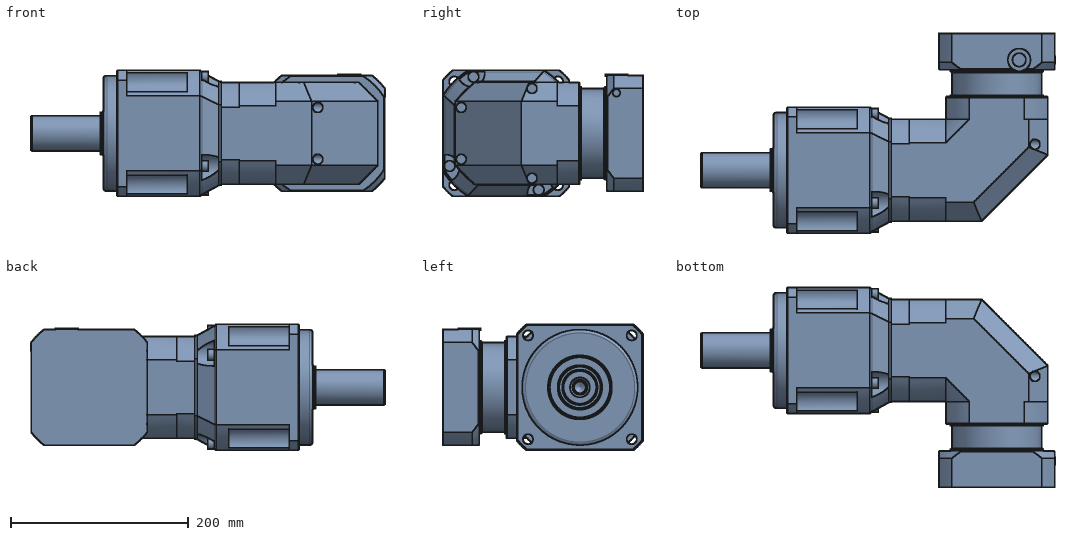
import cadquery as cq
import math


shaft_dia = 40.0
shaft_chamfer = 1.5
shoulder_chamfer = 0.8
shoulder_dia = 48.0
shoulder_x = 78.2
shaft_inner_end_x = 108.5
centre_cone_dia = 22.5
centre_cone_angle = 60.0
centre_recess_dia = 16.8
centre_recess_depth = 14.0
thread_hole_dia = 13.0
thread_hole_depth = 36.0
drill_tip_angle = 120.0

pilot_x = 81.8
plate_x = 97.0
plate_end_x = 108.0
housing_end_x = 192.5
taper_end_x = 212.0
collar_end_x = 214.3
pilot_dia = 130.0
pilot_fillet = 3.5
seal_dia = 70.0
seal_groove_depth = 1.0
seal_lip_height = 1.0
plate_width = 142.0
plate_round_dia = 186.0
plate_chamfer = 1.0
housing_round_dia = 165.0
housing_end_chamfer = 2.0
collar_width = 117.0
collar_round_dia = 133.3

mount_offset = 58.3
mount_hole_dia = 11.0
mount_pocket_dia = 31.0
mount_pocket_offset = 60.5
mount_pocket_end_x = 176.0

taper_screw_circle_dia = 147.0
taper_screw_angle = 30.0
taper_screw_dia = 12.0
taper_screw_end_x = 200.0
taper_scoop_dia = 30.5
taper_scoop_circle_dia = 156.5

body_width = 115.0
ring_round_dia = 129.3
ring_end_x = 234.5
link_round_dia = 130.5
input_axis_x = 333.0
diagonal_cut = 74.5
block_chamfer = 21.5
block_screw_circle_dia = 116.5
block_screw_dia = 11.0
block_screw_floor_x = 303.2
block_screw_angles = (60.0, 150.0, 210.0, 300.0)

flange_end_y = 83.0
flange_chamfer = 1.0
neck_dia = 101.5
neck_ring_dia = 104.5
neck_ring_height = 1.5
neck_ring_cone = 1.5
adapter_y = 113.0
adapter_end_y = 154.0
adapter_width = 130.5
adapter_round_dia = 165.0
adapter_edge_chamfer = 1.0
adapter_cone_radial = 6.5
adapter_cone_axial = 8.5

plug_dia = 25.5
plug_socket_dia = 15.0
plug_offset_x = 25.0
plug_y = 124.0
plug_height = 1.0
plug_depth = 1.0
stud_dia = 8.5
stud_z = 45.5
stud_end_x = 399.0

half_body = body_width / 2
block_x = input_axis_x - half_body
block_end_x = input_axis_x + half_body


def cylinder_x(x_start, x_end, dia, y=0.0, z=0.0):
    """Cylinder parallel to X."""
    return cq.Workplane("YZ", origin=(x_start, y, z)).circle(dia / 2).extrude(x_end - x_start)


def cylinder_y(y_start, y_end, dia):
    """Cylinder on the input axis."""
    return cq.Workplane("XZ", origin=(input_axis_x, y_start, 0)).circle(dia / 2).extrude(y_start - y_end)


def rounded_square_x(x_start, x_end, width, round_dia):
    """Square section along X whose corners are turned down to a cylinder."""
    square = cq.Workplane("YZ", origin=(x_start, 0, 0)).rect(width, width).extrude(x_end - x_start)
    return square.intersect(cylinder_x(x_start, x_end, round_dia))


def rounded_square_y(y_start, y_end, width, round_dia):
    """Square section along the input axis whose corners are turned down to a cylinder."""
    square = (
        cq.Workplane("XZ", origin=(input_axis_x, y_start, 0)).rect(width, width).extrude(y_start - y_end)
    )
    return square.intersect(cylinder_y(y_start, y_end, round_dia))


def polar_yz(circle_dia, angle):
    """Y and Z of a point on a circle round the X axis."""
    radians = math.radians(angle)
    return circle_dia / 2 * math.cos(radians), circle_dia / 2 * math.sin(radians)


def revolve_about_x(profile):
    """Solid of revolution from a closed outline of (x, radius) points."""
    return cq.Workplane("XY").polyline(profile).close().revolve(360, (0, 0, 0), (1, 0, 0))


def make_shaft():
    cone_depth = (centre_cone_dia - centre_recess_dia) / 2 / math.tan(math.radians(centre_cone_angle / 2))
    tip_length = thread_hole_dia / 2 / math.tan(math.radians(drill_tip_angle / 2))
    profile = [
        (thread_hole_depth + tip_length, 0),
        (thread_hole_depth, thread_hole_dia / 2),
        (centre_recess_depth, thread_hole_dia / 2),
        (centre_recess_depth, centre_recess_dia / 2),
        (cone_depth, centre_recess_dia / 2),
        (0, centre_cone_dia / 2),
        (0, shaft_dia / 2 - shaft_chamfer),
        (shaft_chamfer, shaft_dia / 2),
        (shoulder_x, shaft_dia / 2),
        (shoulder_x, shoulder_dia / 2 - shoulder_chamfer),
        (shoulder_x + shoulder_chamfer, shoulder_dia / 2),
        (shaft_inner_end_x, shoulder_dia / 2),
        (shaft_inner_end_x, 0),
    ]
    return revolve_about_x(profile)


def corner_cylinders_x(x_start, x_end, dia, offset):
    """Four cylinders parallel to X, one at each corner of a square round the X axis."""
    centres = [(y, z) for y in (-offset, offset) for z in (-offset, offset)]
    start_plane = cq.Workplane("YZ", origin=(x_start, 0, 0))
    return start_plane.pushPoints(centres).circle(dia / 2).extrude(x_end - x_start)


def make_seal_groove():
    """V-shaped groove round the rim of the shaft seal."""
    seal_radius = seal_dia / 2
    return revolve_about_x([
        (pilot_x, seal_radius - seal_groove_depth),
        (pilot_x, seal_radius + seal_groove_depth),
        (pilot_x + seal_groove_depth, seal_radius),
    ])


def make_seal_lip():
    """Conical lip standing on the pilot face round the shaft shoulder."""
    shoulder_radius = shoulder_dia / 2
    return revolve_about_x([
        (pilot_x, shoulder_radius),
        (pilot_x, shoulder_radius + seal_lip_height),
        (pilot_x - seal_lip_height, shoulder_radius),
    ])


def make_pilot_and_plate():
    pilot = cylinder_x(pilot_x, plate_x, pilot_dia).faces("<X").edges().fillet(pilot_fillet)
    plate = rounded_square_x(plate_x, plate_end_x, plate_width, plate_round_dia)
    plate = plate.faces("<X").chamfer(plate_chamfer)
    return pilot.cut(make_seal_groove()).union(make_seal_lip()).union(plate)


def make_housing_box():
    """Square housing with bolt-head pockets along its corners."""
    box = rounded_square_x(plate_end_x, housing_end_x, plate_width, housing_round_dia)
    box = box.faces(">X").chamfer(housing_end_chamfer)
    pockets = corner_cylinders_x(plate_end_x, mount_pocket_end_x, mount_pocket_dia, mount_pocket_offset)
    return box.cut(pockets)


def make_taper():
    """Pyramid with conical corners, with a screw standing in each of four scoops."""
    length = taper_end_x - housing_end_x
    start_width = plate_width - 2 * housing_end_chamfer
    start_round_dia = housing_round_dia - 2 * housing_end_chamfer
    start_plane = cq.Workplane("YZ", origin=(housing_end_x, 0, 0))
    pyramid = (
        start_plane.rect(start_width, start_width)
        .workplane(offset=length)
        .rect(collar_width, collar_width)
        .loft(ruled=True)
    )
    cone = (
        start_plane.circle(start_round_dia / 2)
        .workplane(offset=length)
        .circle(collar_round_dia / 2)
        .loft(ruled=True)
    )
    taper = pyramid.intersect(cone)
    for quarter in range(4):
        angle = taper_screw_angle + 90 * quarter
        y, z = polar_yz(taper_screw_circle_dia, angle)
        scoop_y, scoop_z = polar_yz(taper_scoop_circle_dia, angle)
        taper = taper.cut(cylinder_x(housing_end_x, taper_end_x, taper_scoop_dia, scoop_y, scoop_z))
        taper = taper.union(cylinder_x(housing_end_x, taper_screw_end_x, taper_screw_dia, y, z))
    return taper.union(rounded_square_x(taper_end_x, collar_end_x, collar_width, collar_round_dia))


def make_inner_corner():
    """Fill between the link and the input flange, rounded off along the diagonal."""
    wedge = (
        cq.Workplane("XY", origin=(0, 0, -half_body))
        .polyline([(block_x, 0), (input_axis_x, half_body), (block_x, half_body)])
        .close()
        .extrude(body_width)
    )
    diagonal = cq.Plane(origin=(block_x, 0, 0), xDir=(-1, 1, 0), normal=(1, 1, 0))
    round_radius = link_round_dia / 2
    diagonal_length = half_body * math.sqrt(2)
    rounding = (
        cq.Workplane(diagonal)
        .ellipse(round_radius / math.sqrt(2), round_radius)
        .extrude(diagonal_length * 2, both=True)
    )
    return wedge.intersect(rounding)


def make_corner_block():
    """Block turning the drive from X to Y, with its outer corner cut off diagonally."""
    outline = [
        (block_x, -half_body),
        (block_end_x - diagonal_cut, -half_body),
        (block_end_x, -half_body + diagonal_cut),
        (block_end_x, half_body),
        (input_axis_x, half_body),
        (block_x, 0),
    ]
    block = cq.Workplane("XY", origin=(0, 0, -half_body)).polyline(outline).close().extrude(body_width)
    output_side_edges = block.faces("<Y").edges("|X")
    input_side_edges = block.faces(">X").edges("|Y")
    diagonal_face = cq.selectors.DirectionMinMaxSelector(cq.Vector(1, -1, 0))
    diagonal_edges = block.faces(diagonal_face).edges("#Z")
    block = output_side_edges.add(input_side_edges).add(diagonal_edges).chamfer(block_chamfer)
    block = block.union(make_inner_corner())
    for angle in block_screw_angles:
        y, z = polar_yz(block_screw_circle_dia, angle)
        block = block.cut(cylinder_x(block_screw_floor_x, block_end_x, block_screw_dia, y, z))
    return block


def make_neck():
    """Round neck with a narrow ring at each end."""
    neck = cylinder_y(flange_end_y, adapter_y, neck_dia)
    neck = neck.union(cylinder_y(flange_end_y, flange_end_y + neck_ring_height, neck_ring_dia))
    step = (neck_ring_dia - neck_dia) / 2
    outer_ring = cylinder_y(adapter_y - neck_ring_height - neck_ring_cone, adapter_y, neck_ring_dia)
    outer_ring = outer_ring.faces("<Y").edges().chamfer(neck_ring_cone, step)
    return neck.union(outer_ring)


def make_plug():
    bottom_z = adapter_width / 2 - plug_depth
    plug_plane = cq.Workplane("XY", origin=(input_axis_x + plug_offset_x, plug_y, bottom_z))
    plug = plug_plane.circle(plug_dia / 2).extrude(plug_depth + plug_height)
    return plug.faces(">Z").workplane().hole(plug_socket_dia, plug_height)


def make_adapter():
    """Motor adapter with bevelled edges, conical corners, a plug on top and a side stud."""
    square = (
        cq.Workplane("XZ", origin=(input_axis_x, adapter_y, 0))
        .rect(adapter_width, adapter_width)
        .extrude(adapter_y - adapter_end_y)
        .faces("<Y")
        .chamfer(adapter_edge_chamfer)
    )
    turned = (
        cylinder_y(adapter_y, adapter_end_y, adapter_round_dia)
        .faces("<Y")
        .edges()
        .chamfer(adapter_cone_axial, adapter_cone_radial)
    )
    adapter = square.intersect(turned)
    stud = cylinder_x(input_axis_x, stud_end_x, stud_dia, plug_y, stud_z)
    return adapter.union(make_plug()).union(stud)


def make_housing():
    housing = make_pilot_and_plate().union(make_housing_box()).union(make_taper())
    housing = housing.union(rounded_square_x(collar_end_x, ring_end_x, body_width, ring_round_dia))
    housing = housing.union(rounded_square_x(ring_end_x, block_x, body_width, link_round_dia))
    housing = housing.union(make_corner_block())
    flange = rounded_square_y(half_body, flange_end_y, body_width, link_round_dia)
    housing = housing.union(flange.faces(">Y").chamfer(flange_chamfer))
    housing = housing.union(make_neck()).union(make_adapter())
    housing = housing.cut(corner_cylinders_x(plate_x, plate_end_x, mount_hole_dia, mount_offset))
    return housing.cut(cylinder_x(pilot_x, shaft_inner_end_x, shoulder_dia))


shaft = make_shaft()
housing = make_housing()

result = cq.Compound.makeCompound([shaft.solids().val(), housing.solids().val()])